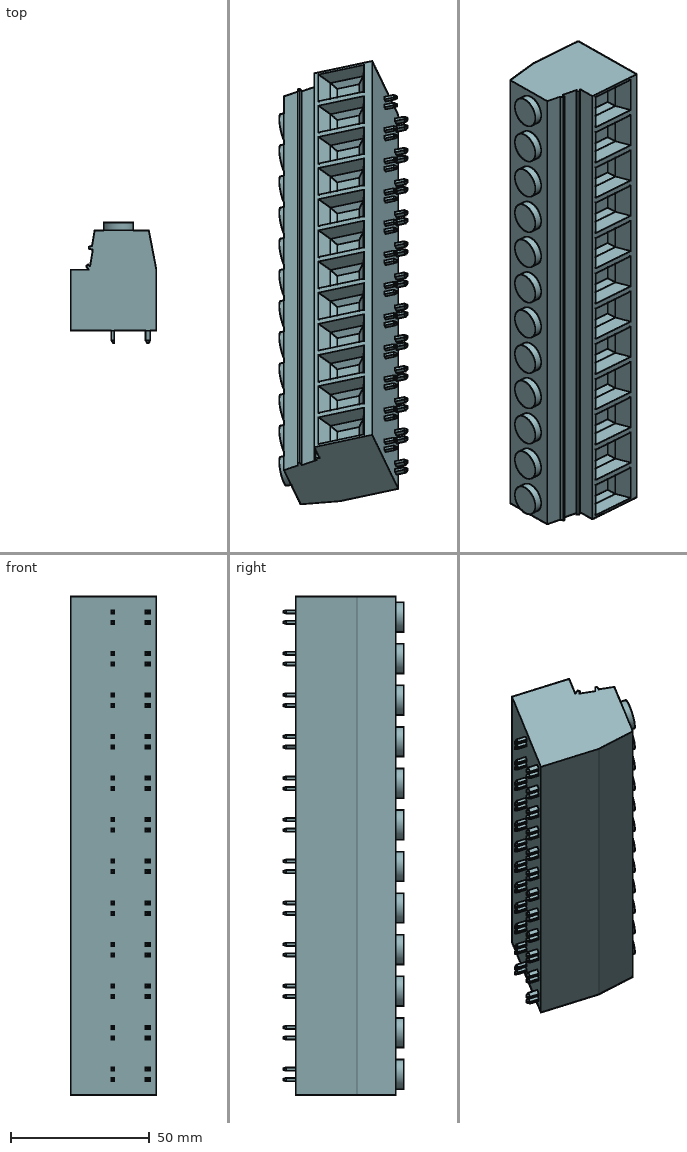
import cadquery as cq

terminal_count = 12
length = 180.0
pitch = length / terminal_count

width = 31.0
body_height = 36.2
ledge_height = 22.0
shoulder_height = 22.1
crown_left = 8.6
crown_right = 28.3
flank_slope = 0.17
flank_step = 0.5

rib_bottom = 29.2
rib_top = 30.6
rib_draft = 0.4
rib_tip_x = 6.5
hook_root = 23.2
hook_peak = (6.3, 24.0)
hook_tip = (5.5, 23.2)
hook_foot_x = 6.5

mouth_bottom, mouth_top = 3.0, 20.3
throat_bottom, throat_top = 5.2, 17.6
floor_bottom, floor_top = 7.4, 15.7
web = 2.2
mouth_span = pitch - web
floor_span = 9.2
throat_depth = 5.8
floor_depth = 7.5

screw_diameter = 10.8
screw_height = 2.9
screw_x = 17.3

pin_length = 4.5
pin_shank = 3.5
pin_thickness = 1.3
pin_tip = 0.5
pin_spacing = 3.8
front_pin_left, front_pin_right = 14.5, 15.8
rear_pin_left, rear_pin_right = 27.0, 28.8


def upper_flank_x(y):
    """X of the wire-side flank above the rib."""
    return crown_left - flank_slope * (body_height - y)


def lower_flank_x(y):
    """X of the wire-side flank below the rib, set slightly back."""
    return upper_flank_x(y) + flank_step


def housing():
    outline = [
        (0, 0),
        (width, 0),
        (width, shoulder_height),
        (crown_right, body_height),
        (crown_left, body_height),
        (upper_flank_x(rib_top), rib_top),
        (rib_tip_x, rib_top - rib_draft),
        (rib_tip_x, rib_bottom + rib_draft),
        (lower_flank_x(rib_bottom), rib_bottom),
        (lower_flank_x(hook_root), hook_root),
        hook_peak,
        hook_tip,
        (hook_foot_x, ledge_height),
        (0, ledge_height),
    ]
    return cq.Workplane("XY").polyline(outline).close().extrude(length / 2, both=True)


def tapered_cavity(start, end, start_range, end_range, start_span, end_span):
    """Loft along X between two rectangles; each range is (bottom, top) in Y, each span is along Z."""
    start_middle = sum(start_range) / 2
    end_middle = sum(end_range) / 2
    return (
        cq.Workplane("YZ", origin=(start, start_middle, 0))
        .rect(start_range[1] - start_range[0], start_span)
        .workplane(offset=end - start)
        .center(end_middle - start_middle, 0)
        .rect(end_range[1] - end_range[0], end_span)
        .loft(ruled=True)
    )


def wire_funnel(z):
    """Entry that narrows in Y only, followed by a taper on all four sides down to the floor."""
    mouth = (mouth_bottom, mouth_top)
    throat = (throat_bottom, throat_top)
    floor = (floor_bottom, floor_top)
    entry = tapered_cavity(0, throat_depth, mouth, throat, mouth_span, mouth_span)
    seat = tapered_cavity(throat_depth, floor_depth, throat, floor, mouth_span, floor_span)
    return entry.union(seat).translate((0, 0, z)).val()


def screw_head(z):
    return (
        cq.Workplane("XZ", origin=(screw_x, body_height, z))
        .circle(screw_diameter / 2)
        .extrude(-screw_height)
        .val()
    )


def solder_pin(left, right, tip_left, tip_right, z):
    """Rectangular pin whose end tapers to a small tip."""
    shank = cq.Workplane("XZ").rect(right - left, pin_thickness).extrude(pin_shank)
    taper = (
        shank.faces("<Y")
        .wires()
        .toPending()
        .workplane(offset=pin_length - pin_shank)
        .center((tip_left + tip_right - left - right) / 2, 0)
        .rect(tip_right - tip_left, pin_tip)
        .loft(ruled=True)
    )
    return taper.translate(((left + right) / 2, 0, z)).val()


def terminal_pins(z):
    rear_centre = (rear_pin_left + rear_pin_right) / 2
    rear_tip = (rear_centre - pin_tip / 2, rear_centre + pin_tip / 2)
    front_tip = (front_pin_right - pin_tip, front_pin_right)
    pins = []
    for pin_z in (z - pin_spacing / 2, z + pin_spacing / 2):
        pins.append(solder_pin(front_pin_left, front_pin_right, *front_tip, pin_z))
        pins.append(solder_pin(rear_pin_left, rear_pin_right, *rear_tip, pin_z))
    return pins


funnels = []
attachments = []
for index in range(terminal_count):
    terminal_z = (index + 0.5) * pitch - length / 2
    funnels.append(wire_funnel(terminal_z))
    attachments.append(screw_head(terminal_z))
    attachments.extend(terminal_pins(terminal_z))

shell = housing().val().cut(*funnels)
result = cq.Workplane(obj=shell.fuse(*attachments))